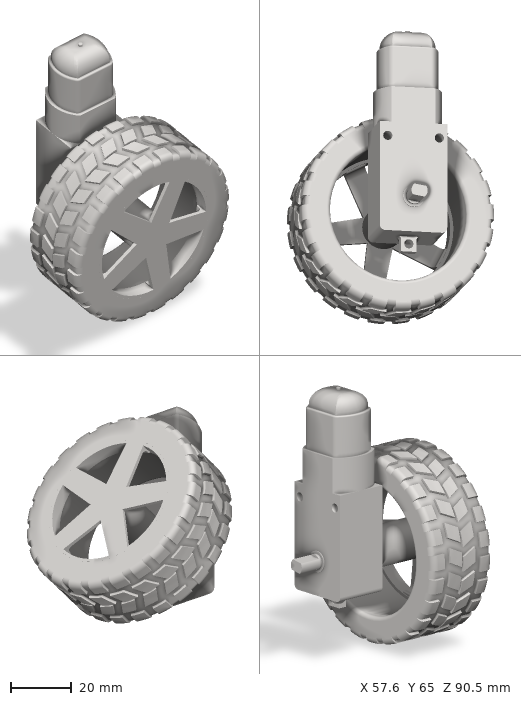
import cadquery as cq
import math


BOX_X = 18.55
BOX_Y = 22.7
BOX_BOTTOM = -11.9
BOX_SHOULDER = 25.0
BOX_TOP = 36.9
BOX_CORNER_RADIUS = 1.8
COLLAR_FLAT_Y = 14.8
MOUNT_HOLE_DIAMETER = 3.1
MOUNT_HOLE_SPACING = 17.4
MOUNT_HOLE_Z = 20.2
BOSS_RADIUS = 3.6
BOSS_HEIGHT = 0.4
TAB_X = 3.1
TAB_Y = 5.25
TAB_LENGTH = 5.2
TAB_CENTER_X = -0.45
TAB_ROOT_RADIUS = 1.0

CAN_X = 16.3
CAN_Y = 20.4
CAN_FLAT_Y = 14.3
CAN_TOP = 51.1
CAN_CORNER_RADIUS = 2.0
CAN_RIM_RADIUS = 0.5
DOME_INSET = 1.0
DOME_TOP = 57.1
DOME_RADIUS = 5.2
PIN_DIAMETER = 1.5
PIN_HEIGHT = 0.9
PIN_EDGE_RADIUS = 0.3

AXLE_DIAMETER = 5.4
AXLE_FLATS = 3.7
AXLE_ROUND_STICKOUT = 1.4
AXLE_END_STICKOUT = 9.2
AXLE_ANGLE = 9

WHEEL_RADIUS = 32.5
WHEEL_WIDTH = 26.0
WHEEL_CENTER_X = 26.1
BLOCK_HEIGHT = 1.0
TREAD_SHOULDER_RADIUS = 2.0
TYRE_SHOULDER_RADIUS = 1.6
BORE_RADIUS = 23.0
BORE_EDGE_RADIUS = 1.4

BLOCK_COUNT = 24
BLOCK_ANGLE = 9
CHEVRON_SKEW = 4.4
SHOULDER_BLOCK_INNER = 8.0
CHEVRON_OUTER = 5.5
CHEVRON_INNER = 0.4
LEFT_SHOULDER_PHASE = 3
RIGHT_SHOULDER_PHASE = 10.5
LEFT_CHEVRON_PHASE = 2.4
RIGHT_CHEVRON_PHASE = 5.4

RING_INNER_RADIUS = 21.9
RING_WIDTH = 4.9
HUB_RADIUS = 7.0
HUB_START_X = 10.9
SPOKE_COUNT = 5
SPOKE_THICKNESS = 1.3
SPOKE_ROOT_WIDTH = 8.5
SPOKE_TIP_WIDTH = 7.1
SPOKE_BEND_RADIUS = 2.0
FLANGE_RADIUS = 21.0
FLANGE_HEIGHT = 4.4
FLANGE_TIP_RADIUS = 0.45

BOX_SIDE = BOX_X / 2
AXLE_ROUND_END = BOX_SIDE + AXLE_ROUND_STICKOUT
AXLE_END = BOX_SIDE + AXLE_END_STICKOUT
WHEEL_RIGHT = WHEEL_CENTER_X + WHEEL_WIDTH / 2


def bowed_outline(bottom_z, width_x, width_y, flat_y):
    """Outline with two straight sides at +-X, joined by arcs that bow out to +-Y."""
    x, y, bow = width_x / 2, flat_y / 2, width_y / 2
    return (
        cq.Workplane("XY", origin=(0, 0, bottom_z))
        .moveTo(x, -y)
        .lineTo(x, y)
        .threePointArc((0, bow), (-x, y))
        .lineTo(-x, -y)
        .threePointArc((0, -bow), (x, -y))
        .close()
    )


def cylinder_x(radius, start_x, end_x):
    return cq.Workplane("YZ", origin=(start_x, 0, 0)).circle(radius).extrude(end_x - start_x)


def ring_x(outer_radius, inner_radius, start_x, end_x):
    return (
        cq.Workplane("YZ", origin=(start_x, 0, 0))
        .circle(outer_radius)
        .circle(inner_radius)
        .extrude(end_x - start_x)
    )


def turn(body, angle):
    return body.rotate((0, 0, 0), (1, 0, 0), angle)


def make_axle():
    axle = cylinder_x(AXLE_DIAMETER / 2, -AXLE_END, AXLE_END)
    flat_length = AXLE_END - AXLE_ROUND_END
    middle = (AXLE_END + AXLE_ROUND_END) / 2
    flat_blank = cq.Workplane("XY").box(flat_length, AXLE_DIAMETER, AXLE_DIAMETER)
    waste = flat_blank.cut(cq.Workplane("XY").box(flat_length, AXLE_DIAMETER, AXLE_FLATS))
    for side in (-1, 1):
        axle = axle.cut(waste.translate((side * middle, 0, 0)))
    return turn(axle, AXLE_ANGLE)


def make_mounting_tab():
    """Tab under the gearbox, flared at its root, with a cross hole in line with X."""
    half = TAB_Y / 2
    flare = half + TAB_ROOT_RADIUS
    tab_bottom = BOX_BOTTOM - TAB_LENGTH
    root = BOX_BOTTOM - TAB_ROOT_RADIUS
    mid_arc = TAB_ROOT_RADIUS * (1 - math.sqrt(0.5))
    return (
        cq.Workplane("YZ", origin=(TAB_CENTER_X - TAB_X / 2, 0, 0))
        .moveTo(-half, tab_bottom)
        .lineTo(half, tab_bottom)
        .lineTo(half, root)
        .threePointArc((half + mid_arc, BOX_BOTTOM - mid_arc), (flare, BOX_BOTTOM))
        .lineTo(-flare, BOX_BOTTOM)
        .threePointArc((-half - mid_arc, BOX_BOTTOM - mid_arc), (-half, root))
        .close()
        .moveTo(0, tab_bottom + half)
        .circle(MOUNT_HOLE_DIAMETER / 2)
        .extrude(TAB_X)
    )


def make_gearbox(axle):
    lower = (
        cq.Workplane("XY", origin=(0, 0, BOX_BOTTOM))
        .rect(BOX_X, BOX_Y)
        .extrude(BOX_SHOULDER - BOX_BOTTOM)
        .faces("<Z")
        .edges("|X")
        .fillet(BOX_CORNER_RADIUS)
    )
    collar_outline = bowed_outline(BOX_SHOULDER, BOX_X, BOX_Y, COLLAR_FLAT_Y)
    collar = collar_outline.extrude(BOX_TOP - BOX_SHOULDER)
    mount_holes = (
        cq.Workplane("YZ", origin=(-BOX_SIDE, 0, MOUNT_HOLE_Z))
        .rarray(MOUNT_HOLE_SPACING, 0.9, 2, 1)
        .circle(MOUNT_HOLE_DIAMETER / 2)
        .extrude(BOX_X)
    )
    boss_end = BOX_SIDE + BOSS_HEIGHT
    bosses = cylinder_x(BOSS_RADIUS, -boss_end, boss_end)
    return lower.union(collar).union(bosses).union(make_mounting_tab()).cut(mount_holes).cut(axle)


def make_motor():
    can = (
        bowed_outline(BOX_TOP, CAN_X, CAN_Y, CAN_FLAT_Y)
        .extrude(CAN_TOP - BOX_TOP)
        .edges("|Z")
        .fillet(CAN_CORNER_RADIUS)
        .faces(">Z")
        .edges()
        .fillet(CAN_RIM_RADIUS)
    )
    dome = (
        bowed_outline(CAN_TOP, CAN_X, CAN_Y, CAN_FLAT_Y)
        .offset2D(-DOME_INSET)
        .extrude(DOME_TOP - CAN_TOP)
        .faces(">Z")
        .edges()
        .fillet(DOME_RADIUS)
    )
    pin = (
        cq.Workplane("XY", origin=(0, 0, DOME_TOP))
        .circle(PIN_DIAMETER / 2)
        .extrude(PIN_HEIGHT)
        .faces(">Z")
        .edges()
        .fillet(PIN_EDGE_RADIUS)
    )
    return can.union(dome).union(pin)


def tread_block(start_x, end_x, start_shift, end_shift, tread_band):
    """Block at the top of the wheel; each end is shifted round the wheel by an angle."""

    def corner(x, angle):
        return (x, WHEEL_RADIUS * math.sin(math.radians(angle)))

    half = BLOCK_ANGLE / 2
    prism = (
        cq.Workplane("XY")
        .polyline(
            [
                corner(start_x, start_shift - half),
                corner(end_x, end_shift - half),
                corner(end_x, end_shift + half),
                corner(start_x, start_shift + half),
            ]
        )
        .close()
        .extrude(WHEEL_RADIUS)
    )
    return prism.intersect(tread_band)


def make_tyre():
    """Tyre on a wheel centred at X = 0."""
    half_width = WHEEL_WIDTH / 2
    base_radius = WHEEL_RADIUS - BLOCK_HEIGHT
    base = cylinder_x(base_radius, -half_width, half_width).edges().fillet(TYRE_SHOULDER_RADIUS)
    tread = cylinder_x(WHEEL_RADIUS, -half_width, half_width).edges().fillet(TREAD_SHOULDER_RADIUS)
    core = cylinder_x(base_radius - 2 * TREAD_SHOULDER_RADIUS, -half_width, half_width)
    tread_band = tread.cut(core)

    skew = CHEVRON_SKEW / 2
    rows = [
        (-half_width, -SHOULDER_BLOCK_INNER, 0, 0, LEFT_SHOULDER_PHASE),
        (SHOULDER_BLOCK_INNER, half_width, 0, 0, RIGHT_SHOULDER_PHASE),
        (-CHEVRON_OUTER, -CHEVRON_INNER, skew, -skew, LEFT_CHEVRON_PHASE),
        (CHEVRON_INNER, CHEVRON_OUTER, -skew, skew, RIGHT_CHEVRON_PHASE),
    ]
    pitch = 360 / BLOCK_COUNT
    blocks = []
    for start_x, end_x, start_shift, end_shift, phase in rows:
        block = tread_block(start_x, end_x, start_shift, end_shift, tread_band)
        for index in range(BLOCK_COUNT):
            blocks.append(turn(block, phase + index * pitch).val())

    bore = cylinder_x(BORE_RADIUS, -half_width, half_width)
    carcass = (
        base.cut(bore)
        .faces("<X")
        .edges(cq.selectors.RadiusNthSelector(0))
        .fillet(BORE_EDGE_RADIUS)
    )
    return cq.Workplane(carcass.val().fuse(*blocks).clean())


def make_spoke():
    """Spoke that hangs down from the hub and bends into a flange against the ring."""
    bend_start = FLANGE_RADIUS - SPOKE_BEND_RADIUS
    plate_x = WHEEL_RIGHT - SPOKE_THICKNESS
    flange_tip = WHEEL_RIGHT - FLANGE_HEIGHT
    mid_arc = SPOKE_BEND_RADIUS * math.sqrt(0.5)
    mid_tip = FLANGE_TIP_RADIUS * (1 - math.sqrt(0.5))
    bent_strip = (
        cq.Workplane("XZ", origin=(0, SPOKE_ROOT_WIDTH / 2, 0))
        .moveTo(WHEEL_RIGHT, 0)
        .lineTo(plate_x, 0)
        .lineTo(plate_x, -bend_start)
        .threePointArc(
            (plate_x - SPOKE_BEND_RADIUS + mid_arc, -bend_start - mid_arc),
            (plate_x - SPOKE_BEND_RADIUS, -FLANGE_RADIUS),
        )
        .lineTo(flange_tip + FLANGE_TIP_RADIUS, -FLANGE_RADIUS)
        .threePointArc(
            (flange_tip + mid_tip, -FLANGE_RADIUS - mid_tip),
            (flange_tip, -FLANGE_RADIUS - FLANGE_TIP_RADIUS),
        )
        .lineTo(flange_tip, -BORE_RADIUS)
        .lineTo(WHEEL_RIGHT, -BORE_RADIUS)
        .close()
        .extrude(SPOKE_ROOT_WIDTH)
    )
    root, tip = SPOKE_ROOT_WIDTH / 2, SPOKE_TIP_WIDTH / 2
    taper = (
        cq.Workplane("YZ")
        .polyline(
            [
                (-root, 0),
                (-root, -HUB_RADIUS),
                (-tip, -BORE_RADIUS),
                (tip, -BORE_RADIUS),
                (root, -HUB_RADIUS),
                (root, 0),
            ]
        )
        .close()
        .extrude(WHEEL_RIGHT)
    )
    return bent_strip.intersect(taper).intersect(cylinder_x(BORE_RADIUS, 0, WHEEL_RIGHT))


def make_rim(axle):
    ring = ring_x(BORE_RADIUS, RING_INNER_RADIUS, WHEEL_RIGHT - RING_WIDTH, WHEEL_RIGHT)
    rim = ring.union(cylinder_x(HUB_RADIUS, HUB_START_X, WHEEL_RIGHT))
    spoke = make_spoke()
    for index in range(SPOKE_COUNT):
        rim = rim.union(turn(spoke, AXLE_ANGLE + index * 360 / SPOKE_COUNT))
    return rim.cut(axle)


axle = make_axle()
gearbox = make_gearbox(axle)
motor = make_motor()
tyre = turn(make_tyre(), AXLE_ANGLE).translate((WHEEL_CENTER_X, 0, 0))
rim = make_rim(axle)

result = cq.Compound.makeCompound([gearbox.val(), motor.val(), axle.val(), rim.val(), tyre.val()])